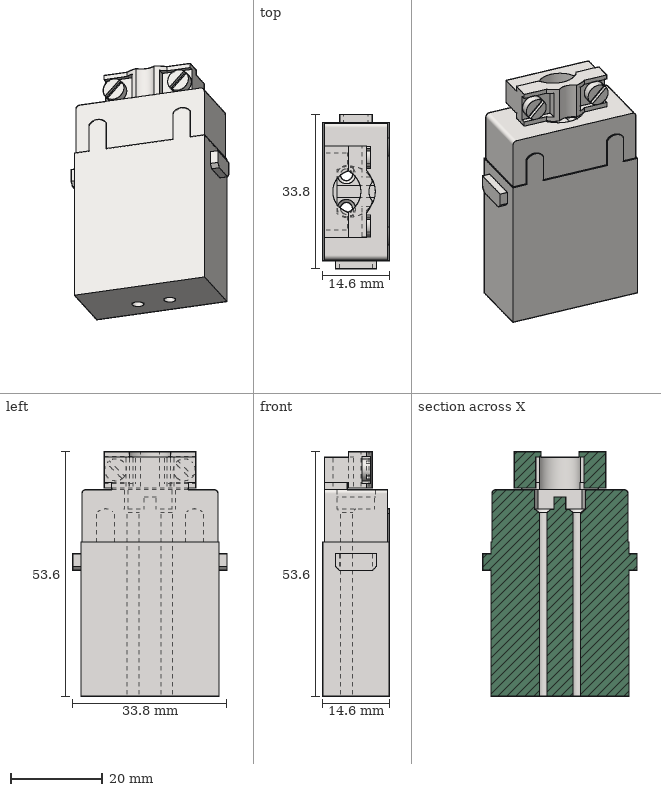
import cadquery as cq

TOTAL_HEIGHT = 53.65
BASE_X = 14.6
BASE_Y = 30.3
BASE_HEIGHT = 33.9
CUT_MARGIN = 0.55

HOOD_SIDE_STEP = 0.4
HOOD_END_STEP = 0.2
HOOD_TOP = 45.35
HOOD_FILLET = 0.9
HOOD_X = BASE_X - 2 * HOOD_SIDE_STEP
HOOD_Y = BASE_Y - 2 * HOOD_END_STEP
HOOD_LEFT = -HOOD_X / 2

PEG_LENGTH = 1.75
PEG_TOP = 31.35
PEG_HEIGHT = 3.7
PEG_CHAMFER = 0.9
FRONT_PEG_WIDTH = 9.0
REAR_PEG_WIDTH = 7.2

TAB_SPACING = 19.55
TAB_WIDTH = 3.95
TAB_TOP = 41.15
TAB_SHOULDER = 40.1

CLAMP_Y = 20.05
SPLIT_X = -1.65
FIXED_JAW_TOP = 52.45
FIXED_JAW_BOTTOM = 46.9
LOOSE_JAW_BOTTOM = 45.65
NECK_Y = 16.85
NECK_SETBACK = 0.2
LOOSE_JAW_RIGHT = 2.35

BULGE_HALF = 4.6
BULGE_MID = (3.15, 3.3)
SCALLOP_CORNER = (3.6, 2.1)
SCALLOP_BOTTOM_X = 2.85

BORE_LEFT = -5.1
BORE_RIGHT = 1.05
BORE_HALF_Y = 4.5

RELIEF_DEPTH = 1.1
RELIEF_Y = 10.5

SCREW_Y = 7.5
SCREW_Z = 49.7
SCREW_HEAD_RADIUS = 2.4
SCREW_HEAD_END = 3.2
POCKET_FLOOR_X = 1.3
POCKET_HEIGHT = 5.9
POCKET_INNER_Y = 3.2
SLOT_WIDTH = 0.8
SLOT_DEPTH = 0.85
SLOT_ANGLE = 45

WELL_X = -1.35
WELL_RADIUS = 5.6
WELL_WALL_X = -4.15
WELL_DEPTH = 4.3
DIVIDER_WIDTH = 2.65
DIVIDER_HEIGHT = 2.7
PIN_X = -2.1
PIN_SPACING = 7.4
PIN_RADIUS = 1.3
PIN_CHAMFER = 0.7
WELL_FLOOR = HOOD_TOP - WELL_DEPTH


def box(x_range, y_range, z_range):
    """Axis-aligned box between three pairs of limits."""
    (x0, x1), (y0, y1), (z0, z1) = x_range, y_range, z_range
    return cq.Workplane("XY").box(x1 - x0, y1 - y0, z1 - z0, centered=False).translate((x0, y0, z0))


def across(width):
    """Limits of a width centred on zero."""
    return (-width / 2, width / 2)


def extrude_between(sketch_on, bottom, top):
    """Extrude the outline drawn by sketch_on from bottom to top."""
    return sketch_on(cq.Workplane("XY").workplane(offset=bottom)).extrude(top - bottom)


def make_housing():
    base = box(across(BASE_X), across(BASE_Y), (0, BASE_HEIGHT))
    hood = box(across(HOOD_X), across(HOOD_Y), (BASE_HEIGHT, HOOD_TOP))
    hood = hood.edges(">Z and |X").fillet(HOOD_FILLET)
    return base.union(hood)


def make_peg(width, side):
    """Peg on the end facing side (+1 or -1 along Y), with its lower corners chamfered."""
    y_limits = sorted((side * BASE_Y / 2, side * (BASE_Y / 2 + PEG_LENGTH)))
    peg = box(across(width), y_limits, (PEG_TOP - PEG_HEIGHT, PEG_TOP))
    return peg.edges("<Z and |Y").chamfer(PEG_CHAMFER)


def make_tab(y):
    return (
        cq.Workplane("YZ")
        .workplane(offset=HOOD_X / 2)
        .moveTo(y - TAB_WIDTH / 2, BASE_HEIGHT)
        .lineTo(y - TAB_WIDTH / 2, TAB_SHOULDER)
        .threePointArc((y, TAB_TOP), (y + TAB_WIDTH / 2, TAB_SHOULDER))
        .lineTo(y + TAB_WIDTH / 2, BASE_HEIGHT)
        .close()
        .extrude(HOOD_SIDE_STEP)
    )


def make_fixed_jaw():
    jaw = box((HOOD_LEFT, SPLIT_X), across(CLAMP_Y), (FIXED_JAW_BOTTOM, FIXED_JAW_TOP))
    neck = box((HOOD_LEFT, SPLIT_X - NECK_SETBACK), across(NECK_Y), (HOOD_TOP, FIXED_JAW_BOTTOM))
    return jaw.union(neck)


def loose_jaw_outline(plane):
    half_y = CLAMP_Y / 2
    mid_x, mid_y = BULGE_MID
    corner_x, corner_y = SCALLOP_CORNER
    return (
        plane.moveTo(SPLIT_X, -half_y)
        .lineTo(LOOSE_JAW_RIGHT, -half_y)
        .lineTo(LOOSE_JAW_RIGHT, -BULGE_HALF)
        .threePointArc((mid_x, -mid_y), (corner_x, -corner_y))
        .threePointArc((SCALLOP_BOTTOM_X, 0), (corner_x, corner_y))
        .threePointArc((mid_x, mid_y), (LOOSE_JAW_RIGHT, BULGE_HALF))
        .lineTo(LOOSE_JAW_RIGHT, half_y)
        .lineTo(SPLIT_X, half_y)
        .close()
    )


def make_screw_pocket(side):
    """Pocket around a screw head, open past the end of the jaw facing side and out to +X."""
    return box(
        (POCKET_FLOOR_X, SCALLOP_CORNER[0] + CUT_MARGIN),
        sorted((side * POCKET_INNER_Y, side * (CLAMP_Y / 2 + CUT_MARGIN))),
        (SCREW_Z - POCKET_HEIGHT / 2, SCREW_Z + POCKET_HEIGHT / 2),
    )


def make_screw_head(side):
    head = (
        cq.Workplane("YZ")
        .workplane(offset=POCKET_FLOOR_X)
        .circle(SCREW_HEAD_RADIUS)
        .extrude(SCREW_HEAD_END - POCKET_FLOOR_X)
    )
    slot = box(
        (SCREW_HEAD_END - SLOT_DEPTH, SCREW_HEAD_END),
        across(2 * (SCREW_HEAD_RADIUS + CUT_MARGIN)),
        across(SLOT_WIDTH),
    )
    slot = slot.rotate((0, 0, 0), (1, 0, 0), SLOT_ANGLE)
    return head.cut(slot).translate((0, side * SCREW_Y, SCREW_Z))


def make_loose_jaw():
    jaw = extrude_between(loose_jaw_outline, LOOSE_JAW_BOTTOM, TOTAL_HEIGHT)
    relief = box(
        (SPLIT_X, SPLIT_X + RELIEF_DEPTH), across(RELIEF_Y), (LOOSE_JAW_BOTTOM, FIXED_JAW_TOP)
    )
    jaw = jaw.cut(relief)
    for side in (-1, 1):
        jaw = jaw.cut(make_screw_pocket(side)).union(make_screw_head(side))
    return jaw


def bore_outline(plane):
    return (
        plane.moveTo(SPLIT_X, -BORE_HALF_Y)
        .threePointArc((BORE_RIGHT, 0), (SPLIT_X, BORE_HALF_Y))
        .threePointArc((BORE_LEFT, 0), (SPLIT_X, -BORE_HALF_Y))
        .close()
    )


def well_outline(plane):
    return plane.center(WELL_X, 0).circle(WELL_RADIUS)


def make_well():
    well = extrude_between(well_outline, WELL_FLOOR, HOOD_TOP)
    beyond_wall = box(
        (WELL_WALL_X, WELL_X + WELL_RADIUS), across(2 * WELL_RADIUS), (WELL_FLOOR, HOOD_TOP)
    )
    divider = box(
        (WELL_WALL_X, WELL_X + WELL_RADIUS), across(DIVIDER_WIDTH), (WELL_FLOOR, WELL_FLOOR + DIVIDER_HEIGHT)
    )
    return well.intersect(beyond_wall).cut(divider)


def make_pin_hole(y):
    """Through hole with a chamfered mouth at the floor of the well."""
    hole = cq.Workplane("XY").center(PIN_X, y).circle(PIN_RADIUS).extrude(WELL_FLOOR)
    mouth = (
        cq.Workplane("XY")
        .workplane(offset=WELL_FLOOR - PIN_CHAMFER)
        .center(PIN_X, y)
        .circle(PIN_RADIUS)
        .workplane(offset=PIN_CHAMFER)
        .circle(PIN_RADIUS + PIN_CHAMFER)
        .loft()
    )
    return hole.union(mouth)


body = make_housing()
body = body.union(make_peg(FRONT_PEG_WIDTH, -1)).union(make_peg(REAR_PEG_WIDTH, 1))
for side in (-1, 1):
    body = body.union(make_tab(side * TAB_SPACING / 2))

body = body.union(make_fixed_jaw()).union(make_loose_jaw())

body = body.cut(extrude_between(bore_outline, HOOD_TOP, TOTAL_HEIGHT))
body = body.cut(make_well())
for side in (-1, 1):
    body = body.cut(make_pin_hole(side * PIN_SPACING / 2))

result = body